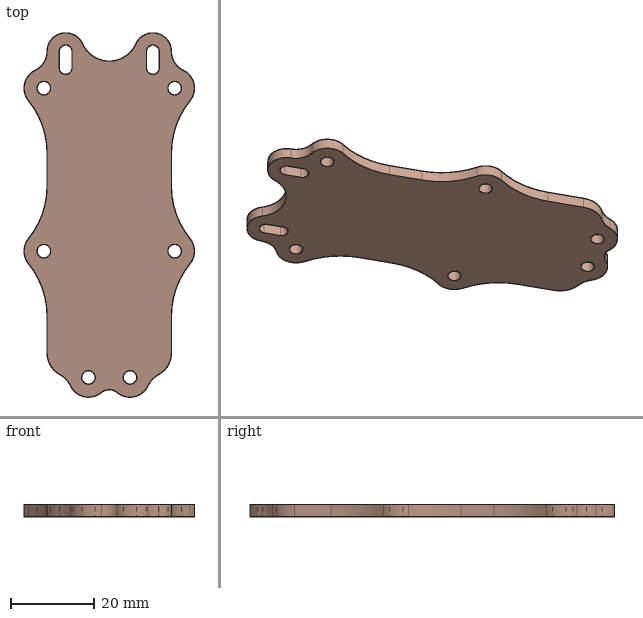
import cadquery as cq
import math

THICKNESS = 3.0
WAIST_HALF_WIDTH = 15.0

HOLE_DIAMETER = 3.2
HOLE_LOBE_RADIUS = 4.8
END_HOLE = (5.0, 0.0)
MIDDLE_HOLE = (15.75, 30.4)
UPPER_HOLE = (15.75, 69.65)

SLOT_WIDTH = 3.0
SLOT_LENGTH = 7.0
ALONG_Y = 90.0
SLOT_LOBE_RADIUS = 4.5
SLOT_OUTER_END = (10.5, 78.5)

SHOULDER_RADIUS = 6.0
SHOULDER = (WAIST_HALF_WIDTH - SHOULDER_RADIUS, 5.9)

END_NOTCH_RADIUS = 3.0
SHOULDER_BLEND_RADIUS = 6.0
WAIST_BLEND_RADIUS = 20.0
UPPER_BLEND_RADIUS = 5.0
TOP_NOTCH_RADIUS = 7.0


def tangent_center(first, first_radius, second, second_radius, blend_radius):
    """Center of a hollow arc that touches two circles, to the right of the way from first to second."""
    dx = second[0] - first[0]
    dy = second[1] - first[1]
    span = math.hypot(dx, dy)
    to_first = first_radius + blend_radius
    to_second = second_radius + blend_radius
    along = (span**2 + to_first**2 - to_second**2) / (2 * span)
    aside = math.sqrt(to_first**2 - along**2)
    return (
        first[0] + (along * dx + aside * dy) / span,
        first[1] + (along * dy - aside * dx) / span,
    )


def toward(center, target, radius):
    """Point of a circle that lies in the direction of the target."""
    distance = math.dist(center, target)
    return (
        center[0] + radius * (target[0] - center[0]) / distance,
        center[1] + radius * (target[1] - center[1]) / distance,
    )


def add_arc(outline, center, radius, start, end):
    """Extend the outline from start to end by the shorter arc about the center."""
    chord_middle = ((start[0] + end[0]) / 2, (start[1] + end[1]) / 2)
    return outline.threePointArc(toward(center, chord_middle, radius), end)


def add_arc_chain(outline, start, circles, end):
    """Extend the outline from start to end by arcs of circles, each touching the next from outside."""
    point = start
    for (center, radius), (next_center, _) in zip(circles, circles[1:]):
        joint = toward(center, next_center, radius)
        outline = add_arc(outline, center, radius, point, joint)
        point = joint
    last_center, last_radius = circles[-1]
    return add_arc(outline, last_center, last_radius, point, end)


def waist_blend_center(hole, side):
    """Center of the hollow arc from a hole lobe to the straight waist, above (1) or below (-1) the hole."""
    x = WAIST_HALF_WIDTH + WAIST_BLEND_RADIUS
    reach = HOLE_LOBE_RADIUS + WAIST_BLEND_RADIUS
    return (x, hole[1] + side * math.sqrt(reach**2 - (x - hole[0]) ** 2))


def notch_center(lobe, lobe_radius, notch_radius, side):
    """Center on X = 0 of the hollow arc between a lobe and its mirror image."""
    reach = lobe_radius + notch_radius
    return (0, lobe[1] + side * math.sqrt(reach**2 - lobe[0] ** 2))


def half_plate():
    """The +X half of the plate, outlined from the end notch round to the top notch."""
    end_notch = notch_center(END_HOLE, HOLE_LOBE_RADIUS, END_NOTCH_RADIUS, -1)
    top_notch = notch_center(SLOT_OUTER_END, SLOT_LOBE_RADIUS, TOP_NOTCH_RADIUS, 1)
    shoulder_blend = tangent_center(
        END_HOLE, HOLE_LOBE_RADIUS, SHOULDER, SHOULDER_RADIUS, SHOULDER_BLEND_RADIUS
    )
    upper_blend = tangent_center(
        UPPER_HOLE, HOLE_LOBE_RADIUS, SLOT_OUTER_END, SLOT_LOBE_RADIUS, UPPER_BLEND_RADIUS
    )
    below_middle = waist_blend_center(MIDDLE_HOLE, -1)
    above_middle = waist_blend_center(MIDDLE_HOLE, 1)
    below_upper = waist_blend_center(UPPER_HOLE, -1)

    end_notch_peak = (0, end_notch[1] + END_NOTCH_RADIUS)
    top_notch_floor = (0, top_notch[1] - TOP_NOTCH_RADIUS)
    shoulder_side = (WAIST_HALF_WIDTH, SHOULDER[1])
    lower_waist_top = (WAIST_HALF_WIDTH, below_middle[1])
    upper_waist_bottom = (WAIST_HALF_WIDTH, above_middle[1])
    upper_waist_top = (WAIST_HALF_WIDTH, below_upper[1])

    end_circles = [
        (end_notch, END_NOTCH_RADIUS),
        (END_HOLE, HOLE_LOBE_RADIUS),
        (shoulder_blend, SHOULDER_BLEND_RADIUS),
        (SHOULDER, SHOULDER_RADIUS),
    ]
    middle_circles = [
        (below_middle, WAIST_BLEND_RADIUS),
        (MIDDLE_HOLE, HOLE_LOBE_RADIUS),
        (above_middle, WAIST_BLEND_RADIUS),
    ]
    top_circles = [
        (below_upper, WAIST_BLEND_RADIUS),
        (UPPER_HOLE, HOLE_LOBE_RADIUS),
        (upper_blend, UPPER_BLEND_RADIUS),
        (SLOT_OUTER_END, SLOT_LOBE_RADIUS),
        (top_notch, TOP_NOTCH_RADIUS),
    ]

    outline = cq.Workplane("XY").moveTo(*end_notch_peak)
    outline = add_arc_chain(outline, end_notch_peak, end_circles, shoulder_side)
    outline = outline.lineTo(*lower_waist_top)
    outline = add_arc_chain(outline, lower_waist_top, middle_circles, upper_waist_bottom)
    outline = outline.lineTo(*upper_waist_top)
    outline = add_arc_chain(outline, upper_waist_top, top_circles, top_notch_floor)
    return outline.close().extrude(THICKNESS)


def mirrored_pair(point):
    """The point and its mirror image about X = 0."""
    return [point, (-point[0], point[1])]


def holes():
    """Through-hole cutters in the lobes."""
    centers = []
    for hole in (END_HOLE, MIDDLE_HOLE, UPPER_HOLE):
        centers += mirrored_pair(hole)
    return cq.Workplane("XY").pushPoints(centers).circle(HOLE_DIAMETER / 2).extrude(THICKNESS)


def slots():
    """Through-slot cutters at the top end."""
    middle_y = SLOT_OUTER_END[1] - (SLOT_LENGTH - SLOT_WIDTH) / 2
    centers = mirrored_pair((SLOT_OUTER_END[0], middle_y))
    return cq.Workplane("XY").pushPoints(centers).slot2D(SLOT_LENGTH, SLOT_WIDTH, ALONG_Y).extrude(THICKNESS)


half = half_plate()
plate = half.union(half.mirror("YZ")).clean()
result = plate.cut(holes()).cut(slots())